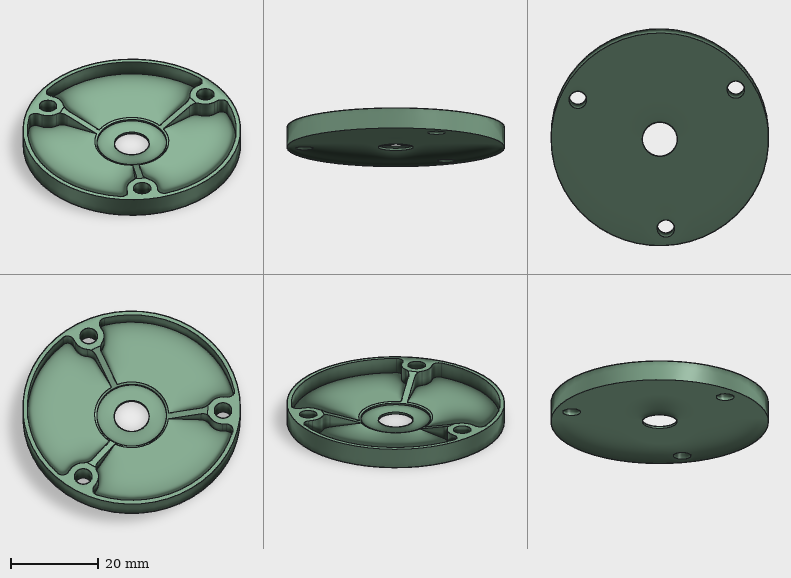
import cadquery as cq
import math

outer_radius = 25
height = 4.7
rim_width = 1
floor_height = 1.1
bore_diameter = 8
seat_radius = 8
seat_height = 0.5
slope_foot_height = 0.9
screw_hole_diameter = 4
screw_circle_radius = 21
boss_radius = 3.5
rib_width = 1.5
rib_fillet = 2.5
pocket_corner_radius = 1.5
arm_angles = (90, 210, 330)

pocket_radius = outer_radius - rim_width
pocket_depth = height - floor_height
slope_top_radius = screw_circle_radius - boss_radius


def make_arm(angle):
    """Screw boss, its pad to the rim and its rib to the centre, lying along the given angle."""
    pad_length = outer_radius - screw_circle_radius
    base = cq.Workplane("XY", origin=(0, 0, floor_height))
    boss = base.center(screw_circle_radius, 0).circle(boss_radius).extrude(pocket_depth)
    pad = (
        base.center(screw_circle_radius + pad_length / 2, 0)
        .rect(pad_length, 2 * boss_radius)
        .extrude(pocket_depth)
    )
    rib = (
        base.center(screw_circle_radius / 2, 0)
        .rect(screw_circle_radius, rib_width)
        .extrude(pocket_depth)
    )
    arm = boss.union(pad).union(rib)
    return arm.rotate((0, 0, 0), (0, 0, 1), angle)


def make_pocket():
    """Open volume between the arms, with rounded corners at the rim and where ribs meet bosses."""
    pocket = (
        cq.Workplane("XY", origin=(0, 0, floor_height))
        .circle(pocket_radius)
        .extrude(pocket_depth)
    )
    for angle in arm_angles:
        pocket = pocket.cut(make_arm(angle))

    def axis_distance(edge):
        return math.hypot(edge.Center().x, edge.Center().y)

    rim_corners = pocket.edges("|Z").filter(
        lambda edge: axis_distance(edge) > screw_circle_radius + boss_radius / 2
    )
    pocket = rim_corners.fillet(pocket_corner_radius)
    rib_joints = pocket.edges("|Z").filter(
        lambda edge: seat_radius < axis_distance(edge) < screw_circle_radius - boss_radius / 2
    )
    return rib_joints.fillet(rib_fillet)


def make_seat():
    """Flat round recess opening into a cone that slopes the rib tops up to the bosses."""
    return (
        cq.Workplane("XZ")
        .moveTo(0, seat_height)
        .lineTo(seat_radius, seat_height)
        .lineTo(seat_radius, slope_foot_height)
        .lineTo(slope_top_radius, height)
        .lineTo(0, height)
        .close()
        .revolve(360, (0, 0, 0), (0, 1, 0))
    )


disc = cq.Workplane("XY").circle(outer_radius).extrude(height)
bore = cq.Workplane("XY").circle(bore_diameter / 2).extrude(height)
screw_holes = (
    cq.Workplane("XY")
    .polarArray(screw_circle_radius, arm_angles[0], 360, len(arm_angles))
    .circle(screw_hole_diameter / 2)
    .extrude(height)
)

result = disc.cut(make_pocket()).cut(make_seat()).cut(bore).cut(screw_holes)